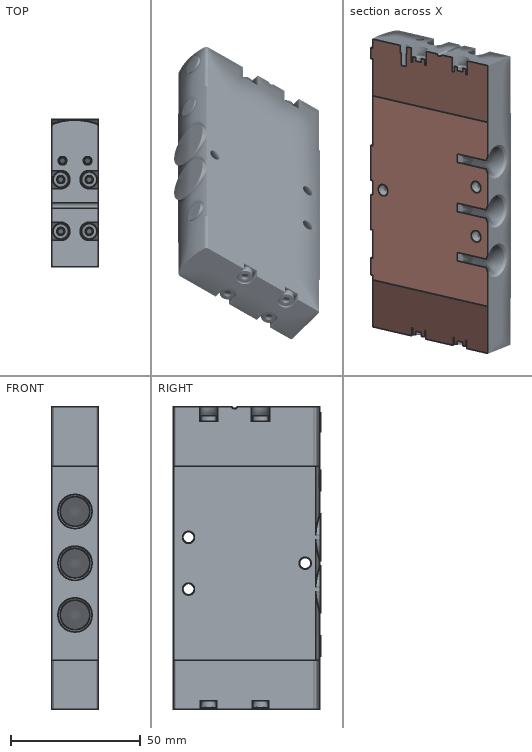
import cadquery as cq
import math

width = 18.0
half_width = width / 2
overall_depth = 57.0
body_height = 75.0
upper_cap_height = 23.0
lower_cap_height = 19.0
body_top = body_height / 2
body_bottom = -body_height / 2
upper_cap_top = body_top + upper_cap_height
lower_cap_bottom = body_bottom - lower_cap_height

crown_radius = 26.0
crown_y = 56.7
shoulder_y = crown_y - crown_radius + math.sqrt(crown_radius**2 - half_width**2)
front_edge_radius = 0.5
back_edge_radius = 1.2

pad_root_y = 50.0
outlet_pad_diameter = 18.1
outlet_pad_offset = 10.0
button_diameter = 8.0
button_offset = 32.0
upper_button_x = 0.0
lower_button_x = -3.7
cap_button_diameter = 7.5
cap_button_x = -2.5
cap_button_z = 54.5

port_diameter = 11.45
port_mouth_diameter = 13.2
port_pitch = 20.0
port_depth = 15.0
port_chamfer = (port_mouth_diameter - port_diameter) / 2
cross_hole_diameter = 4.4
front_cross_hole_y = 5.9
back_cross_hole_y = 51.0
front_cross_hole_offset = port_pitch / 2

screw_x = 5.5
front_screw_y = 13.7
screw_pitch = 20.0
screw_ys = (front_screw_y, front_screw_y + screw_pitch)
screw_head_diameter = 6.0
socket_diameter = 2.46
socket_mouth_diameter = 3.0
socket_mouth_depth = (socket_mouth_diameter - socket_diameter) / 2
socket_depth = 1.5
upper_slot_width = 7.0
upper_slot_depth = 5.7
upper_head_recess = 3.4
lower_slot_width = 6.4
lower_slot_depth = 3.3
lower_head_recess = 0.7

groove_y = front_screw_y + screw_pitch / 2
groove_width = 2.25
groove_depth = 0.7
pilot_hole_diameter = 2.46
pilot_mouth_diameter = 3.2
pilot_mouth_depth = 3.0
pilot_hole_x = 4.85
pilot_hole_y = 41.0
pilot_hole_depth = 8.0


def section_block(bottom, height):
    """Extrude the crowned cross-section upward from the given Z."""
    return (
        cq.Workplane("XY", origin=(0, 0, bottom))
        .moveTo(-half_width, 0)
        .lineTo(half_width, 0)
        .lineTo(half_width, shoulder_y)
        .threePointArc((0, crown_y), (-half_width, shoulder_y))
        .close()
        .extrude(height)
    )


def cap_block(bottom, height):
    """Cross-section block with its four long edges rounded."""
    block = section_block(bottom, height)
    block = block.edges("|Z and <Y").fillet(front_edge_radius)
    corners = cq.selectors.BoxSelector(
        (-width, shoulder_y - front_edge_radius, bottom),
        (width, shoulder_y + front_edge_radius, bottom + height),
    )
    return block.edges(corners).edges("|Z").fillet(back_edge_radius)


def raised_pad(diameter, x, z):
    """Round pad rising to the overall depth, trimmed flush with the block sides."""
    length = overall_depth - pad_root_y
    pad = cq.Workplane("XY").circle(diameter / 2).extrude(length)
    pad = pad.rotate((0, 0, 0), (1, 0, 0), -90).translate((x, pad_root_y, z))
    envelope = cq.Workplane("XY").box(width, 2 * overall_depth, 2 * upper_cap_top)
    return pad.intersect(envelope)


def port_cutter(z):
    """Blind port with a chamfered mouth, entering from the port face."""
    profile = (
        cq.Workplane("XY")
        .moveTo(0, 0)
        .lineTo(port_mouth_diameter / 2, 0)
        .lineTo(port_diameter / 2, port_chamfer)
        .lineTo(port_diameter / 2, port_depth)
        .lineTo(0, port_depth)
        .close()
    )
    return profile.revolve(360, (0, 0, 0), (0, 1, 0)).translate((0, 0, z))


def cross_hole_cutter(y, z):
    """Mounting hole right through the thickness."""
    start = cq.Workplane("YZ", origin=(-half_width, y, z))
    return start.circle(cross_hole_diameter / 2).extrude(width)


def pilot_hole_cutter(x):
    """Stepped pilot hole sunk from the top of the upper cap."""
    top = cq.Workplane("XY", origin=(x, pilot_hole_y, upper_cap_top))
    mouth = top.circle(pilot_mouth_diameter / 2).extrude(-pilot_mouth_depth)
    return mouth.union(top.circle(pilot_hole_diameter / 2).extrude(-pilot_hole_depth))


def screw_slot_cutter(side, y, face_z, inward, slot_width, slot_depth, head_recess):
    """Side-opening slot that leaves a socket-head screw standing on its floor.

    side is +1 or -1 along X; inward is the Z direction from the end face into the cap.
    """
    centre_x = side * screw_x
    half_slot = slot_width / 2
    plane = cq.Workplane("XY", origin=(centre_x, y, face_z))
    opening = half_width - screw_x
    slot = plane.circle(half_slot).extrude(inward * slot_depth)
    channel = plane.center(side * opening / 2, 0).rect(opening, slot_width).extrude(inward * slot_depth)
    head_plane = cq.Workplane("XY", origin=(centre_x, y, face_z + inward * head_recess))
    head = head_plane.circle(screw_head_diameter / 2).extrude(inward * (slot_depth - head_recess))
    socket = head_plane.circle(socket_diameter / 2).extrude(inward * socket_depth)
    mouth = cq.Workplane("XY").newObject([cq.Solid.makeCone(
        socket_mouth_diameter / 2,
        socket_diameter / 2,
        socket_mouth_depth,
        cq.Vector(centre_x, y, face_z + inward * head_recess),
        cq.Vector(0, 0, inward),
    )])
    return slot.union(channel).cut(head).union(socket).union(mouth)


def cut_screw_slots(cap, face_z, inward, slot_width, slot_depth, head_recess):
    """Cut all four screw slots into the end face of a cap."""
    for side in (-1, 1):
        for y in screw_ys:
            cap = cap.cut(
                screw_slot_cutter(side, y, face_z, inward, slot_width, slot_depth, head_recess)
            )
    return cap


def make_valve_body():
    body = section_block(body_bottom, body_height)
    for z in (-outlet_pad_offset, outlet_pad_offset):
        body = body.union(raised_pad(outlet_pad_diameter, 0, z))
    body = body.union(raised_pad(button_diameter, upper_button_x, button_offset))
    body = body.union(raised_pad(button_diameter, lower_button_x, -button_offset))
    for z in (-port_pitch, 0, port_pitch):
        body = body.cut(port_cutter(z))
    for z in (-front_cross_hole_offset, front_cross_hole_offset):
        body = body.cut(cross_hole_cutter(front_cross_hole_y, z))
    return body.cut(cross_hole_cutter(back_cross_hole_y, 0))


def make_upper_cap():
    cap = cap_block(body_top, upper_cap_height)
    cap = cap.union(raised_pad(cap_button_diameter, cap_button_x, cap_button_z))
    cap = cut_screw_slots(
        cap, upper_cap_top, -1, upper_slot_width, upper_slot_depth, upper_head_recess
    )
    groove = (
        cq.Workplane("YZ", origin=(-half_width, groove_y, upper_cap_top))
        .moveTo(-groove_width / 2, 0)
        .threePointArc((0, -groove_depth), (groove_width / 2, 0))
        .close()
        .extrude(width)
    )
    cap = cap.cut(groove)
    for x in (-pilot_hole_x, pilot_hole_x):
        cap = cap.cut(pilot_hole_cutter(x))
    return cap


def make_lower_cap():
    cap = cap_block(lower_cap_bottom, lower_cap_height)
    return cut_screw_slots(
        cap, lower_cap_bottom, 1, lower_slot_width, lower_slot_depth, lower_head_recess
    )


valve_body = make_valve_body()
upper_cap = make_upper_cap()
lower_cap = make_lower_cap()

result = cq.Compound.makeCompound([valve_body.val(), upper_cap.val(), lower_cap.val()])